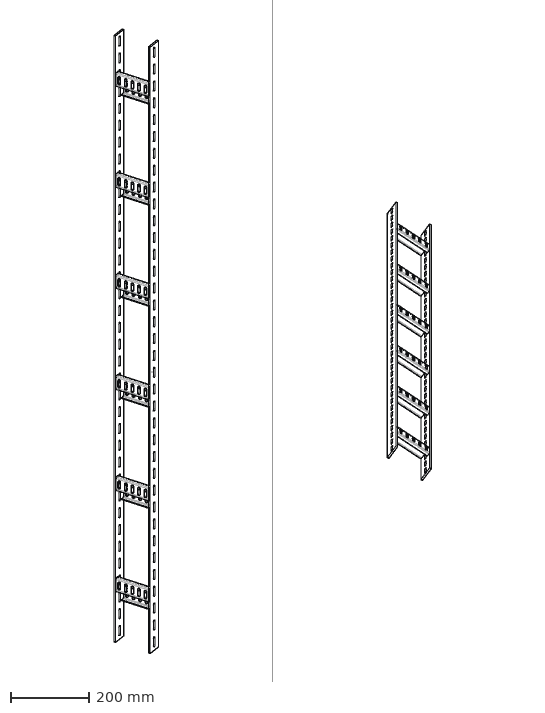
import cadquery as cq
import math

LENGTH = 1800.0
WIDTH = 110.0
DEPTH = 40.0

RAIL_THICKNESS = 5.0
RAIL_SLOT_COUNT = 36
RAIL_SLOT_PITCH = LENGTH / RAIL_SLOT_COUNT
RAIL_SLOT_LENGTH = 29.0
SLOT_WIDTH = 7.0

RUNG_COUNT = 6
RUNG_PITCH = LENGTH / RUNG_COUNT
RUNG_LENGTH = WIDTH - 2 * RAIL_THICKNESS
RUNG_SHEET = 2.9
OUTER_BEND_RADIUS = 2.9
INNER_BEND_RADIUS = 2.0
RUNG_CORNER_HEIGHT = 40.0
FLANGE_REACH = 10.0
FOLD_SLOPE = math.radians(5)

RUNG_SLOT_LENGTH = 23.0
RUNG_SLOT_COLUMNS = 5
RUNG_SLOT_SPACING = RUNG_LENGTH / RUNG_SLOT_COLUMNS
RUNG_ROW_SPACING = 2 * RUNG_SLOT_SPACING


def centred_positions(count, pitch):
    """Evenly spaced positions, centred on zero."""
    return [(i - (count - 1) / 2) * pitch for i in range(count)]


def make_rail(side):
    """Flat bar on the -X side (side = -1) or the +X side (side = 1), slotted along its length."""
    centre_x = side * (WIDTH - RAIL_THICKNESS) / 2
    slot_centres = [(0, z) for z in centred_positions(RAIL_SLOT_COUNT, RAIL_SLOT_PITCH)]
    slots = (
        cq.Workplane("YZ", origin=(centre_x, 0, 0))
        .pushPoints(slot_centres)
        .slot2D(RAIL_SLOT_LENGTH, SLOT_WIDTH, 90)
        .extrude(RAIL_THICKNESS, both=True)
    )
    bar = cq.Workplane("XY").box(RAIL_THICKNESS, DEPTH, LENGTH).translate((centre_x, 0, 0))
    return bar.cut(slots)


def rung_outline():
    """Sharp-cornered section of the folded sheet in the YZ plane. The points follow one skin from
    the rear end of the top flange to the front end of the bottom flange; the other skin is the
    same line turned half a turn."""
    slope = math.tan(FOLD_SLOPE)
    sloped_thickness = RUNG_SHEET / math.cos(FOLD_SLOPE)
    outer_y = DEPTH / 2
    inner_y = outer_y - RUNG_SHEET
    flange_rise = FLANGE_REACH * slope
    front_skin = [
        (-outer_y + FLANGE_REACH, RUNG_CORNER_HEIGHT + flange_rise),
        (-outer_y, RUNG_CORNER_HEIGHT),
        (-outer_y, outer_y * slope - sloped_thickness / 2),
        (inner_y, -inner_y * slope - sloped_thickness / 2),
        (inner_y, -RUNG_CORNER_HEIGHT - RUNG_SHEET * slope + sloped_thickness),
        (outer_y - FLANGE_REACH, -RUNG_CORNER_HEIGHT - flange_rise + sloped_thickness),
    ]
    rear_skin = [(-y, -z) for y, z in front_skin]
    return front_skin + rear_skin


def round_bends(sheet, y, radius):
    """Fillet the fold edges that run along X at -y and +y."""
    folds = sheet.edges("|X").filter(lambda edge: math.isclose(abs(edge.Center().y), y))
    return folds.fillet(radius)


def make_rung_sheet():
    """Folded sheet with rounded bends, centred on the origin."""
    sheet = (
        cq.Workplane("YZ", origin=(-RUNG_LENGTH / 2, 0, 0))
        .polyline(rung_outline())
        .close()
        .extrude(RUNG_LENGTH)
    )
    sheet = round_bends(sheet, DEPTH / 2 - RUNG_SHEET, INNER_BEND_RADIUS)
    return round_bends(sheet, DEPTH / 2, OUTER_BEND_RADIUS)


def make_rung_slots():
    """Cutters for both rows of slots, passing through the whole depth."""
    slot_centres = [
        (x, z)
        for x in centred_positions(RUNG_SLOT_COLUMNS, RUNG_SLOT_SPACING)
        for z in (-RUNG_ROW_SPACING / 2, RUNG_ROW_SPACING / 2)
    ]
    return (
        cq.Workplane("XZ")
        .pushPoints(slot_centres)
        .slot2D(RUNG_SLOT_LENGTH, SLOT_WIDTH, 90)
        .extrude(DEPTH, both=True)
    )


rails = [make_rail(side) for side in (-1, 1)]
slotted_rung = make_rung_sheet().cut(make_rung_slots())
rungs = [slotted_rung.translate((0, 0, z)) for z in centred_positions(RUNG_COUNT, RUNG_PITCH)]

result = cq.Compound.makeCompound([body.val() for body in rails + rungs])